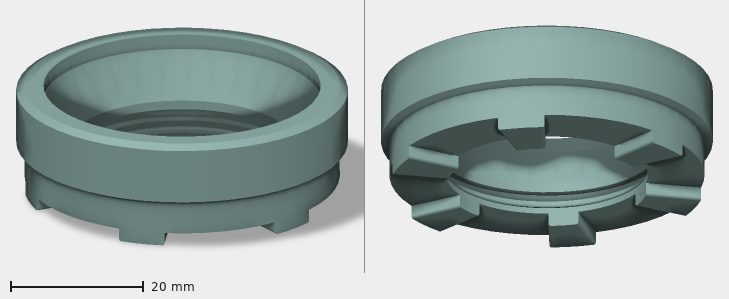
import cadquery as cq
import math

total_height = 16.55
tooth_height = 2.0
seat_floor_z = 2.9
seat_lip_z = 3.5
groove_floor_z = 4.45
groove_roof_z = 6.1
bowl_bottom_z = 7.5
rim_depth = 2.3
bowl_top_z = total_height - rim_depth
collar_bottom_z = 6.8

outer_radius = 50 / 2
body_radius = 47.5 / 2
rim_radius = 41.75 / 2
rim_step = 0.1
bowl_top_radius = rim_radius - rim_step
throat_radius = 33.5 / 2
groove_radius = 36 / 2
seat_radius = 32.8 / 2
bore_radius = 30.5 / 2

bevel_width = outer_radius - body_radius
bevel_height = bevel_width * math.tan(math.radians(30))
seat_round = seat_lip_z - seat_floor_z

tooth_count = 6
tooth_width = 7.1
tooth_edge_round = 0.4
first_gap_angle = 0
tooth_half_angle = math.asin(tooth_width / 2 / body_radius)


def make_ring():
    """Revolve the radius-height section of the stepped ring about Z."""
    round_diagonal = seat_round * math.sqrt(0.5)
    section = (
        cq.Workplane("XZ")
        .moveTo(bore_radius, 0)
        .lineTo(body_radius, 0)
        .lineTo(body_radius, collar_bottom_z)
        .lineTo(outer_radius, collar_bottom_z + bevel_height)
        .lineTo(outer_radius, total_height - bevel_height)
        .lineTo(outer_radius - bevel_width, total_height)
        .lineTo(rim_radius, total_height)
        .lineTo(rim_radius, bowl_top_z)
        .lineTo(bowl_top_radius, bowl_top_z)
        .lineTo(throat_radius, bowl_bottom_z)
        .lineTo(throat_radius, groove_roof_z)
        .lineTo(groove_radius, groove_roof_z)
        .lineTo(groove_radius, groove_floor_z)
        .lineTo(seat_radius, groove_floor_z)
        .lineTo(seat_radius, seat_lip_z)
        .lineTo(seat_radius + seat_round, seat_lip_z)
        .threePointArc(
            (seat_radius + round_diagonal, seat_lip_z - round_diagonal),
            (seat_radius, seat_floor_z),
        )
        .lineTo(bore_radius, seat_floor_z)
        .close()
    )
    return section.revolve(360, (0, 0, 0), (0, 1, 0))


def make_gap():
    """Wedge with radial sides, centred on +X, that clears the space between two teeth."""
    pitch_angle = 2 * math.pi / tooth_count
    half_angle = pitch_angle / 2 - tooth_half_angle
    corner_x = 2 * outer_radius * math.cos(half_angle)
    corner_y = 2 * outer_radius * math.sin(half_angle)
    return (
        cq.Workplane("XY")
        .polyline([(0, 0), (corner_x, -corner_y), (corner_x, corner_y)])
        .close()
        .extrude(tooth_height)
    )


result = make_ring()
gap = make_gap()
for index in range(tooth_count):
    angle = first_gap_angle + index * 360 / tooth_count
    result = result.cut(gap.rotate((0, 0, 0), (0, 0, 1), angle))

result = result.faces("<Z").edges("%LINE").fillet(tooth_edge_round)